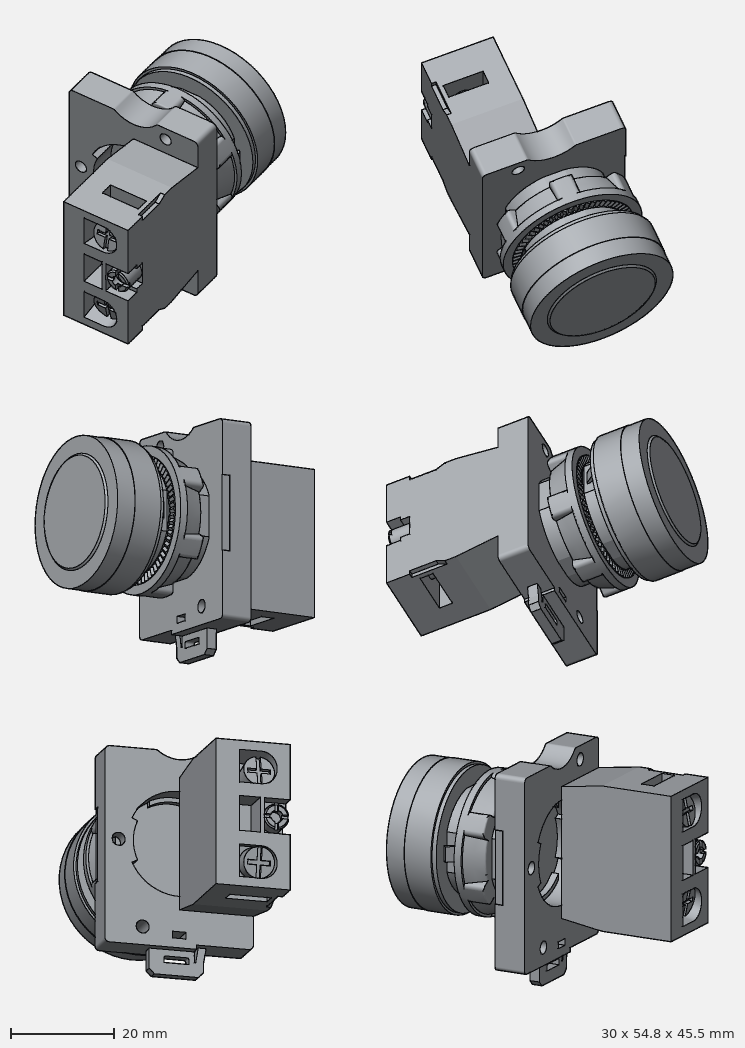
import cadquery as cq
import math


LENS_TOP = 24.3
BEZEL_TOP = 23.9
RIM_TOP = 19.95
RIM_BOTTOM = 14.08
BEZEL_BOTTOM = 13.17
WASHER_TOP = 9.7
NUT_TOP = 9.25
FLUTE_TOP = 7.7
NUT_BOTTOM = 3.3
PLATE_FACE = -6.5
BLOCK_FULL = -15.5
BLOCK_FACE = -30.5

LENS_DIAMETER = 22.8
LENS_TOP_DIAMETER = 22.0
BEZEL_DIAMETER = 29.8
RIM_DIAMETER = 30.0
SKIRT_DIAMETER = 29.0
NECK_RADIUS = 10.95
NECK_SIDE_FLAT = 10.18
NECK_TOP_FLAT = 10.73
CLIP_WIDTH = 3.1
CLIP_ROOT_BITE = 0.3
CLIP_FOOT = (10.45, 10.45)
CLIP_HEEL = (10.7, 10.8)
CLIP_TIP = (11.95, 12.55)
CLIP_TOP_X = (11.15, 11.4)
CLIP_INNER_Y = 11.0

NUT_RADIUS = 14.5
FLUTE_RADIUS_TOP = 13.95
FLUTE_RADIUS_BOTTOM = 12.5
LOBE_COUNT = 6
LOBE_WIDTH = 4.7
LOBE_ROUND = 0.9
NUT_EDGE_ROUND = 0.35
WASHER_RADIUS = 12.6
TOOTH_COUNT = 63

PLATE_WIDTH = 30.0
PLATE_LEFT_TOP = 18.6
PLATE_RIGHT_TOP = 19.58
PLATE_LEFT_BOTTOM = -20.85
PLATE_RIGHT_BOTTOM = -20.0
BOTTOM_STEP_X = 3.5
CORNER_RADIUS = 1.0
LOW_CORNER_RADIUS = 0.8
SCALLOP_RADIUS = 7.0
SCALLOP_BOTTOM = 16.95
SCALLOP_EDGE_RADIUS = 0.75
FIXING_HOLE_DIAMETER = 2.6
FIXING_HOLES = [(7.5, 16.8), (-7.4, -17.2)]
SIDE_HOLE_X = -12.25
SIDE_HOLE_FLOOR = -3.5
SIDE_HOLE_STEP_FLOOR = -3.0
SIDE_HOLE_DEEPEST = -0.8
SIDE_HOLE_STEP_X = (SIDE_HOLE_X - 0.1, SIDE_HOLE_X + 0.3)
WINDOW_SIZE = (2.75, 1.35)
WINDOW_Z = -18.3
SIDE_RECESS_LENGTH = 14.9
SIDE_RECESS_HEIGHT = 1.65
SIDE_RECESS_DEPTH = 0.2

BORE_RADIUS = 10.55
KEY_RADIUS = 9.3
KEY_HALF_ANGLE = 25.0
LEDGE_RADIUS = 9.65
LEDGE_X = (-4.6, 7.0)
LEDGE_Y = -2.0
BORE_END = -0.5

LATCH_FRONT = -4.6
LATCH_BACK = -2.5
LATCH_BOTTOM = -25.92
LATCH_HALF_WIDTH = 5.5
LATCH_CHAMFER = 1.05
LATCH_SLOT_SIZE = (5.0, 1.3)
LATCH_SLOT_Z = -22.8
LATCH_SLOT_ROUND = 0.4
ARM_ROOT_Z = -23.0
ARM_TOP_X = (4.4, 6.0)
SLIT_X = (3.6, 3.9)

BLOCK_WIDTH = 15.0
BLOCK_HALF_HEIGHT = 14.62
BLOCK_ROOT_HALF_HEIGHT = 13.25
POCKET_LEFT = 4.75
TERMINAL_X = 9.15
TERMINAL_Z = 9.5
TERMINAL_RADIUS = 3.2
TERMINAL_TILT = 12.0
TERMINAL_DEPTH = 5.0
SCREW_RADIUS = 3.1
SCREW_SINK = 1.5
SHAFT_DIAMETER = 3.5
SLOT_WIDTH = 0.9
SLOT_DEPTH = 0.8
SHORT_SLOT_LENGTH = 4.6
MIDDLE_HEIGHT = 7.0
MIDDLE_POCKET_WIDTH = 4.2
MIDDLE_POCKET_DEPTH = 6.0
CLAMP_POCKET_LEFT = 9.8
CLAMP_POCKET_DEPTH = 3.0
CLAMP_CHANNEL_DEPTH = 5.0
CLAMP_CHANNEL_RADIUS = 2.6
CLAMP_SCREW_X = 12.33
CLAMP_SCREW_DIAMETER = 5.0
CLAMP_RECESS_DIAMETER = 2.4
CLAMP_SLOT_WIDTH = 0.75
CLAMP_SINK = 0.15
CLAMP_CHAMFER = 0.3
WIRE_WINDOW_X = (4.75, 13.1)
WIRE_WINDOW_Y = (-24.2, -21.4)
WIRE_WINDOW_DEPTH = 8.5
NOTCH_Y = (-25.5, -17.9)
NOTCH_RAMP_END = -19.8
NOTCH_WIDTH = 0.95
NOTCH_DEPTH = 1.0


def sketch_at(y):
    """Workplane with local axes X and Z at the given Y; positive extrusion runs toward -Y."""
    return cq.Workplane("XZ", origin=(0, y, 0))


def disc(y_low, y_high, radius, x=0, z=0):
    return sketch_at(y_high).center(x, z).circle(radius).extrude(y_high - y_low)


def block(x_range, y_range, z_range):
    """Box between the given limits on each axis."""
    sizes = [high - low for low, high in (x_range, y_range, z_range)]
    corner = (x_range[0], y_range[0], z_range[0])
    return cq.Workplane("XY").box(*sizes, centered=False).translate(corner)


def mirrored_pair(shape, plane):
    return shape.union(shape.mirror(plane))


def make_head():
    lens = (
        sketch_at(BEZEL_TOP)
        .circle(LENS_DIAMETER / 2)
        .workplane(offset=BEZEL_TOP - LENS_TOP)
        .circle(LENS_TOP_DIAMETER / 2)
        .loft()
    )
    bezel = disc(RIM_TOP, BEZEL_TOP, BEZEL_DIAMETER / 2)
    rim = disc(RIM_BOTTOM, RIM_TOP, RIM_DIAMETER / 2)
    skirt = disc(BEZEL_BOTTOM, RIM_BOTTOM, SKIRT_DIAMETER / 2)
    return lens.union(bezel).union(rim).union(skirt)


def make_neck():
    neck = disc(PLATE_FACE / 2, BEZEL_BOTTOM, NECK_RADIUS)
    flats = block(
        (-NECK_SIDE_FLAT, NECK_SIDE_FLAT),
        (PLATE_FACE, BEZEL_BOTTOM),
        (-NECK_TOP_FLAT, NECK_TOP_FLAT),
    )
    return neck.intersect(flats)


def make_clips():
    """Two sloping spring tabs between the neck and the head."""
    root = NECK_SIDE_FLAT - CLIP_ROOT_BITE
    profile = [
        (root, CLIP_FOOT[1]),
        CLIP_FOOT,
        CLIP_HEEL,
        CLIP_TIP,
        (CLIP_TOP_X[1], BEZEL_BOTTOM),
        (CLIP_TOP_X[0], BEZEL_BOTTOM),
        (NECK_SIDE_FLAT, CLIP_INNER_Y),
        (root, CLIP_INNER_Y),
    ]
    clip = cq.Workplane("XY").polyline(profile).close().extrude(CLIP_WIDTH / 2, both=True)
    return mirrored_pair(clip, "YZ")


def make_nut():
    """Hand nut: a round flange over a tapering core with raised lobes."""
    flange = disc(FLUTE_TOP, NUT_TOP, NUT_RADIUS)
    core = (
        sketch_at(FLUTE_TOP)
        .circle(FLUTE_RADIUS_TOP)
        .workplane(offset=FLUTE_TOP - NUT_BOTTOM)
        .circle(FLUTE_RADIUS_BOTTOM)
        .loft()
        .faces("<Y")
        .fillet(NUT_EDGE_ROUND)
    )
    lobe = block(
        (-LOBE_WIDTH / 2, LOBE_WIDTH / 2), (NUT_BOTTOM, FLUTE_TOP), (NECK_TOP_FLAT, NUT_RADIUS)
    ).intersect(disc(NUT_BOTTOM, FLUTE_TOP, NUT_RADIUS))
    lobe = lobe.edges("|Y").edges(">Z").fillet(LOBE_ROUND)
    nut = flange.union(core)
    for index in range(LOBE_COUNT):
        angle = index * 360 / LOBE_COUNT
        nut = nut.union(lobe.rotate((0, 0, 0), (0, 1, 0), angle))
    envelope = disc(NUT_BOTTOM, NUT_TOP, NUT_RADIUS).faces("<Y").fillet(NUT_EDGE_ROUND)
    return nut.intersect(envelope)


def make_serrated_washer():
    """Toothed washer on the nut with radial V grooves in its upper face."""
    washer = disc(NUT_TOP, WASHER_TOP, WASHER_RADIUS)
    half_pitch = math.pi * WASHER_RADIUS / TOOTH_COUNT
    profile = [(WASHER_TOP, -half_pitch), (NUT_TOP, 0), (WASHER_TOP, half_pitch)]
    groove = (
        cq.Workplane("YZ", origin=(NECK_RADIUS, 0, 0))
        .polyline(profile)
        .close()
        .extrude(WASHER_RADIUS - NECK_RADIUS)
        .val()
    )
    grooves = [
        groove.rotate(cq.Vector(0, 0, 0), cq.Vector(0, 1, 0), index * 360 / TOOTH_COUNT)
        for index in range(TOOTH_COUNT)
    ]
    return cq.Workplane(washer.val().cut(*grooves))


def make_plate():
    half = PLATE_WIDTH / 2
    outline = [
        (-half, PLATE_LEFT_BOTTOM),
        (BOTTOM_STEP_X, PLATE_LEFT_BOTTOM),
        (BOTTOM_STEP_X, PLATE_RIGHT_BOTTOM),
        (half, PLATE_RIGHT_BOTTOM),
        (half, PLATE_RIGHT_TOP),
        (0, PLATE_RIGHT_TOP),
        (0, PLATE_LEFT_TOP),
        (-half, PLATE_LEFT_TOP),
    ]
    plate = sketch_at(0).polyline(outline).close().extrude(-PLATE_FACE)
    plate = plate.edges("|Y").edges(">X").fillet(CORNER_RADIUS)
    plate = plate.edges("|Y").edges("<X").edges(">Z").fillet(CORNER_RADIUS)
    plate = plate.edges("|Y").edges("<X").edges("<Z").fillet(LOW_CORNER_RADIUS)
    scallop = disc(PLATE_FACE, 0, SCALLOP_RADIUS, 0, SCALLOP_BOTTOM + SCALLOP_RADIUS)
    plate = plate.cut(scallop)
    scallop_edges = cq.selectors.BoxSelector(
        (-SCALLOP_RADIUS, PLATE_FACE, SCALLOP_BOTTOM),
        (SCALLOP_RADIUS, 0, SCALLOP_BOTTOM + SCALLOP_RADIUS),
    )
    plate = plate.edges("|Y").edges(scallop_edges).fillet(SCALLOP_EDGE_RADIUS)
    for x, z in FIXING_HOLES:
        plate = plate.cut(disc(PLATE_FACE, 0, FIXING_HOLE_DIAMETER / 2, x, z))
    window = sketch_at(0).center(0, WINDOW_Z).rect(*WINDOW_SIZE).extrude(-PLATE_FACE)
    side_recess = block(
        (-half, SIDE_RECESS_DEPTH - half),
        (-SIDE_RECESS_HEIGHT, 0),
        (-SIDE_RECESS_LENGTH / 2, SIDE_RECESS_LENGTH / 2),
    )
    return plate.cut(window).cut(side_recess).cut(make_side_hole())


def make_side_hole():
    """Blind hole whose floor drops steeply on its outer half."""
    radius = FIXING_HOLE_DIAMETER / 2
    profile = [
        (SIDE_HOLE_X - radius, PLATE_FACE),
        (SIDE_HOLE_X - radius, SIDE_HOLE_DEEPEST),
        (SIDE_HOLE_STEP_X[0], SIDE_HOLE_STEP_FLOOR),
        (SIDE_HOLE_STEP_X[1], SIDE_HOLE_STEP_FLOOR),
        (SIDE_HOLE_STEP_X[1], SIDE_HOLE_FLOOR),
        (SIDE_HOLE_X + radius, SIDE_HOLE_FLOOR),
        (SIDE_HOLE_X + radius, PLATE_FACE),
    ]
    depth_shape = cq.Workplane("XY").polyline(profile).close().extrude(radius, both=True)
    return disc(PLATE_FACE, 0, radius, SIDE_HOLE_X).intersect(depth_shape)


def make_opening():
    """Stepped round opening with a key on each side and a ledge above and below."""
    opening = disc(PLATE_FACE, BORE_END, BORE_RADIUS)
    reach = 2 * BORE_RADIUS
    rise = reach * math.tan(math.radians(KEY_HALF_ANGLE))
    sector = (
        sketch_at(BORE_END)
        .polyline([(0, 0), (-reach, rise), (-reach, -rise)])
        .close()
        .extrude(BORE_END - PLATE_FACE)
    )
    key = sector.cut(disc(PLATE_FACE, BORE_END, KEY_RADIUS))
    ledge = block(
        LEDGE_X, (LEDGE_Y, BORE_END), (-reach, reach)
    ).cut(disc(LEDGE_Y, BORE_END, LEDGE_RADIUS))
    return opening.cut(mirrored_pair(key, "YZ")).cut(ledge)


def make_latch():
    """Slotted tab with a springy arm at its right."""
    outline = [
        (-LATCH_HALF_WIDTH, PLATE_LEFT_BOTTOM),
        (-LATCH_HALF_WIDTH, LATCH_BOTTOM + LATCH_CHAMFER),
        (LATCH_CHAMFER - LATCH_HALF_WIDTH, LATCH_BOTTOM),
        (LATCH_HALF_WIDTH - LATCH_CHAMFER, LATCH_BOTTOM),
        (LATCH_HALF_WIDTH, LATCH_BOTTOM + LATCH_CHAMFER),
        (LATCH_HALF_WIDTH, ARM_ROOT_Z),
        (ARM_TOP_X[1], PLATE_RIGHT_BOTTOM),
        (ARM_TOP_X[0], PLATE_RIGHT_BOTTOM),
        (SLIT_X[1], ARM_ROOT_Z),
        (SLIT_X[0], ARM_ROOT_Z),
        (SLIT_X[0], PLATE_LEFT_BOTTOM),
    ]
    thickness = LATCH_BACK - LATCH_FRONT
    latch = sketch_at(LATCH_BACK).polyline(outline).close().extrude(thickness)
    slot = sketch_at(LATCH_BACK).center(0, LATCH_SLOT_Z).rect(*LATCH_SLOT_SIZE).extrude(thickness)
    slot = slot.edges("|Y and >Z").fillet(LATCH_SLOT_ROUND)
    return latch.cut(slot)


def make_terminal():
    """Upper terminal: returns its tilted pocket and the screw standing in it."""
    left = POCKET_LEFT - TERMINAL_X
    reach = TERMINAL_RADIUS * math.tan(math.radians(TERMINAL_TILT)) + SCREW_SINK
    pocket = (
        cq.Workplane("XZ", origin=(0, TERMINAL_DEPTH, 0))
        .moveTo(left, TERMINAL_RADIUS)
        .lineTo(0, TERMINAL_RADIUS)
        .threePointArc((TERMINAL_RADIUS, 0), (0, -TERMINAL_RADIUS))
        .lineTo(left, -TERMINAL_RADIUS)
        .close()
        .extrude(TERMINAL_DEPTH + reach)
    )
    shaft = disc(SCREW_SINK, 2 * TERMINAL_DEPTH, SHAFT_DIAMETER / 2)
    head = disc(SCREW_SINK, TERMINAL_DEPTH, SCREW_RADIUS)
    slot_y = (SCREW_SINK, SCREW_SINK + SLOT_DEPTH)
    half_slot = (-SLOT_WIDTH / 2, SLOT_WIDTH / 2)
    long_slot = block(half_slot, slot_y, (-SCREW_RADIUS, SCREW_RADIUS))
    short_slot = block((-SHORT_SLOT_LENGTH / 2, SHORT_SLOT_LENGTH / 2), slot_y, half_slot)
    screw = head.union(shaft).cut(long_slot).cut(short_slot)

    def place(shape):
        tilted = shape.rotate((0, 0, 0), (1, 0, 0), -TERMINAL_TILT)
        return tilted.translate((TERMINAL_X, BLOCK_FACE, TERMINAL_Z))

    return place(pocket), place(screw)


def make_top_notch():
    """Shallow notch with a ramp, along the right edge of the top of the block."""
    profile = [
        (NOTCH_Y[1], BLOCK_HALF_HEIGHT),
        (NOTCH_RAMP_END, BLOCK_HALF_HEIGHT - NOTCH_DEPTH),
        (NOTCH_Y[0], BLOCK_HALF_HEIGHT - NOTCH_DEPTH),
        (NOTCH_Y[0], BLOCK_HALF_HEIGHT),
    ]
    start = cq.Workplane("YZ", origin=(BLOCK_WIDTH - NOTCH_WIDTH, 0, 0))
    return start.polyline(profile).close().extrude(NOTCH_WIDTH)


def make_clamp_screw():
    top = BLOCK_FACE + CLAMP_SINK
    radius = CLAMP_SCREW_DIAMETER / 2
    screw = disc(top, BLOCK_FACE + CLAMP_CHANNEL_DEPTH, radius, CLAMP_SCREW_X)
    screw = screw.faces("<Y").chamfer(CLAMP_CHAMFER)
    slot_y = (top, top + SLOT_DEPTH)
    half_slot = CLAMP_SLOT_WIDTH / 2
    x_range = (CLAMP_SCREW_X - radius, CLAMP_SCREW_X + radius)
    screw = screw.cut(block(x_range, slot_y, (-half_slot, half_slot)))
    middle = (CLAMP_SCREW_X - half_slot, CLAMP_SCREW_X + half_slot)
    screw = screw.cut(block(middle, slot_y, (-radius, radius)))
    recess = disc(top, top + 2 * SLOT_DEPTH, CLAMP_RECESS_DIAMETER / 2, CLAMP_SCREW_X)
    return screw.cut(recess)


def make_contact_block():
    profile = [
        (PLATE_FACE, BLOCK_ROOT_HALF_HEIGHT),
        (BLOCK_FULL, BLOCK_HALF_HEIGHT),
        (BLOCK_FACE, BLOCK_HALF_HEIGHT),
        (BLOCK_FACE, -BLOCK_HALF_HEIGHT),
        (BLOCK_FULL, -BLOCK_HALF_HEIGHT),
        (PLATE_FACE, -BLOCK_ROOT_HALF_HEIGHT),
    ]
    body = cq.Workplane("YZ").polyline(profile).close().extrude(BLOCK_WIDTH)

    half = MIDDLE_HEIGHT / 2
    middle_pocket = block(
        (POCKET_LEFT, POCKET_LEFT + MIDDLE_POCKET_WIDTH),
        (BLOCK_FACE, BLOCK_FACE + MIDDLE_POCKET_DEPTH),
        (-half, half),
    )
    clamp_pocket = block(
        (CLAMP_POCKET_LEFT, BLOCK_WIDTH),
        (BLOCK_FACE, BLOCK_FACE + CLAMP_POCKET_DEPTH),
        (-half, half),
    )
    channel_y = (BLOCK_FACE, BLOCK_FACE + CLAMP_CHANNEL_DEPTH)
    channel = disc(*channel_y, CLAMP_CHANNEL_RADIUS, CLAMP_SCREW_X).union(
        block(
            (CLAMP_SCREW_X, BLOCK_WIDTH), channel_y, (-CLAMP_CHANNEL_RADIUS, CLAMP_CHANNEL_RADIUS)
        )
    )
    body = body.cut(middle_pocket).cut(clamp_pocket).cut(channel).union(make_clamp_screw())

    pocket, screw = make_terminal()
    window_z = (BLOCK_HALF_HEIGHT - WIRE_WINDOW_DEPTH, BLOCK_HALF_HEIGHT)
    wire_window = block(WIRE_WINDOW_X, WIRE_WINDOW_Y, window_z)
    openings = pocket.union(wire_window).union(make_top_notch())
    body = body.cut(mirrored_pair(openings, "XY"))
    return body.union(screw).union(screw.mirror("XY"))


button = make_head().union(make_neck()).union(make_clips()).union(make_nut())
button = button.union(make_serrated_washer())
mount = make_plate().union(make_latch())
result = button.union(mount).cut(make_opening()).union(make_contact_block())